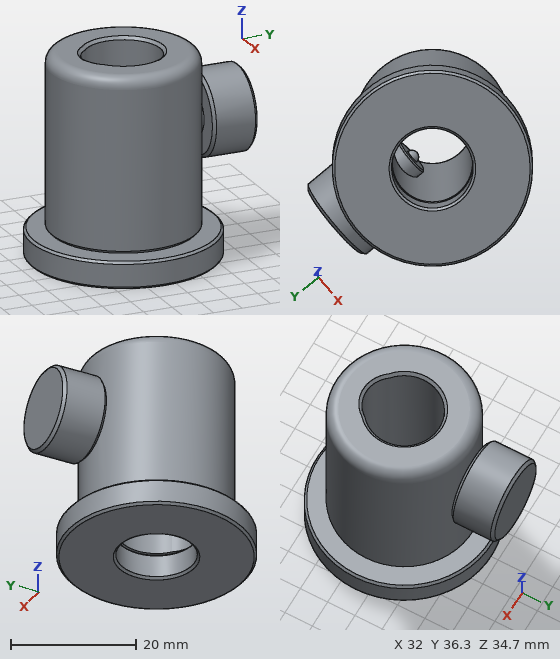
import cadquery as cq

base_diameter = 32.0
base_thickness = 4.7
base_hole_radius = 6.5
base_chamfer = 0.4

housing_diameter = 25.0
housing_height = 30.0
housing_top_fillet = 2.0
housing_chamfer = 0.5

bore_radius = 6.4
relief_radius = 5.0
relief_offset = 2.0

clamp_axis_z = 22.15

knob_diameter = 14.55
knob_length = 7.85
knob_chamfer = 0.5
knob_inner_y = housing_diameter / 2
knob_outer_y = knob_inner_y + knob_length

plunger_diameter = 6.0
plunger_tip_y = 4.18
plunger_tip_chamfer = 0.25
plunger_root_flare = 0.55

ball_radius = 1.1
ball_seat_depth = 0.1
ball_centre_y = plunger_tip_y + ball_seat_depth


def clamp_cylinder(diameter, inner_y, outer_y):
    """Cylinder on the clamp axis between two Y positions."""
    return (
        cq.Workplane("XZ", origin=(0, outer_y, clamp_axis_z))
        .circle(diameter / 2)
        .extrude(outer_y - inner_y)
    )


def make_base():
    """Disc with a central hole and all four rims chamfered."""
    return (
        cq.Workplane("XY")
        .circle(base_diameter / 2)
        .circle(base_hole_radius)
        .extrude(base_thickness)
        .faces("<Z or >Z")
        .edges()
        .chamfer(base_chamfer)
    )


def make_bore():
    """Two overlapping cylinders: the main bore and a smaller relief shifted towards -Y."""
    main_bore = (
        cq.Workplane("XY", origin=(0, 0, base_thickness))
        .circle(bore_radius)
        .extrude(housing_height)
    )
    relief = (
        cq.Workplane("XY", origin=(0, -relief_offset, base_thickness))
        .circle(relief_radius)
        .extrude(housing_height)
    )
    return main_bore.union(relief)


def make_plunger_blank():
    """Plunger without its ball seat: a chamfered tip and a root that flares out to the knob."""
    radius = plunger_diameter / 2
    root_radius = radius + plunger_root_flare
    half_profile = (
        cq.Workplane("XY", origin=(0, 0, clamp_axis_z))
        .moveTo(0, plunger_tip_y)
        .lineTo(radius - plunger_tip_chamfer, plunger_tip_y)
        .lineTo(radius, plunger_tip_y + plunger_tip_chamfer)
        .lineTo(radius, knob_inner_y - plunger_root_flare)
        .lineTo(root_radius, knob_inner_y)
        .lineTo(0, knob_inner_y)
        .close()
    )
    return half_profile.revolve(axisStart=(0, 0, 0), axisEnd=(0, 1, 0))


def make_housing():
    """Sleeve with a rounded top rim, chamfered bore and a side hole that fits the plunger."""
    body = (
        cq.Workplane("XY", origin=(0, 0, base_thickness))
        .circle(housing_diameter / 2)
        .extrude(housing_height)
    )
    body = body.faces(">Z").edges().fillet(housing_top_fillet)
    body = body.faces("<Z").edges().chamfer(housing_chamfer)
    body = body.cut(make_bore())
    body = body.faces(">Z").wires(cq.selectors.LengthNthSelector(0)).chamfer(housing_chamfer)
    return body.cut(make_plunger_blank())


def make_knob():
    """Plain round knob with both rims chamfered."""
    blank = clamp_cylinder(knob_diameter, knob_inner_y, knob_outer_y)
    return blank.faces("<Y or >Y").edges().chamfer(knob_chamfer)


def make_ball():
    """Ball that stands out of the plunger tip."""
    return cq.Workplane("XY", origin=(0, ball_centre_y, clamp_axis_z)).sphere(ball_radius)


def make_plunger():
    """Plunger with a seat that fits the ball."""
    return make_plunger_blank().cut(make_ball())


base = make_base()
housing = make_housing()
knob = make_knob()
plunger = make_plunger()
ball = make_ball()

result = cq.Compound.makeCompound([
    base.solids().val(),
    housing.solids().val(),
    knob.solids().val(),
    plunger.solids().val(),
    ball.solids().val(),
])